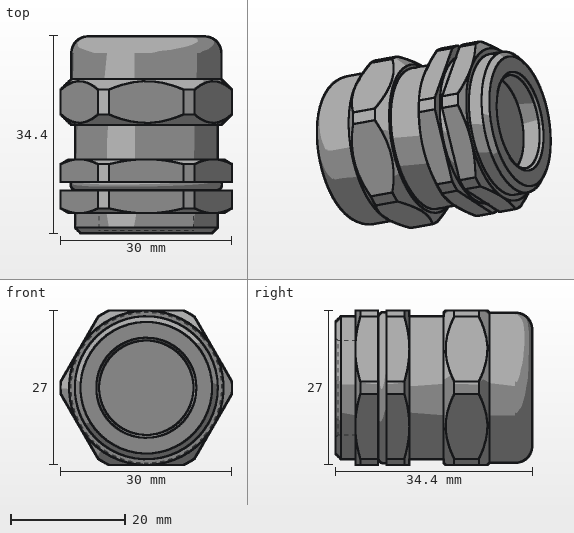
import cadquery as cq
import math


across_flats = 27.0
corner_diameter = 30.0
sharp_corner_diameter = across_flats / math.cos(math.pi / 6)
nut_thickness = 4.0
nut_chamfer_angle = 30.0
cap_hex_chamfer_angle = 45.0

body_diameter = 25.0
thread_length = 3.5
thread_chamfer = 1.0
neck_length = 6.0

bore_diameter = 16.5
bore_chamfer = 0.5
bore_depth = 3.65

seal_gap = 1.43
seal_core_diameter = 24.5
seal_tube_radius = 1.0

cap_diameter = 26.3
cap_hex_length = 8.0
cap_length = 7.5
cap_fillet = 3.0

locknut_start = thread_length
locknut_end = locknut_start + nut_thickness
body_hex_start = locknut_end + seal_gap
body_hex_end = body_hex_start + nut_thickness
cap_hex_start = body_hex_end + neck_length
cap_hex_end = cap_hex_start + cap_hex_length
cap_end = cap_hex_end + cap_length


def cylinder(diameter, start, end):
    """Solid cylinder along +Y between two stations."""
    base = cq.Workplane("XZ", origin=(0, start, 0))
    return base.circle(diameter / 2).extrude(start - end)


def hexagon(start, end, face_diameter, chamfer_angle, chamfered_faces):
    """Hexagon with flats facing +Z and -Z, rounded corners and conical end chamfers."""
    prism = (
        cq.Workplane("XZ", origin=(0, start, 0))
        .polygon(6, sharp_corner_diameter)
        .extrude(start - end)
    )
    radial_chamfer = (corner_diameter - face_diameter) / 2
    axial_chamfer = radial_chamfer * math.tan(math.radians(chamfer_angle))
    envelope = cylinder(corner_diameter, start, end)
    for face in chamfered_faces:
        envelope = envelope.faces(face).chamfer(axial_chamfer, radial_chamfer)
    return prism.intersect(envelope)


def threaded_body():
    body = cylinder(body_diameter, 0, cap_hex_start)
    return body.faces("<Y").chamfer(thread_chamfer)


def sealing_ring():
    """Round-rimmed disc, tangent to the locknut and cut flush at the body hexagon."""
    core_radius = seal_core_diameter / 2
    center_y = locknut_end + seal_tube_radius
    top_height = body_hex_start - center_y
    top_radius = core_radius + math.sqrt(seal_tube_radius**2 - top_height**2)
    return (
        cq.Workplane("XY")
        .moveTo(0, locknut_end)
        .lineTo(core_radius, locknut_end)
        .threePointArc((core_radius + seal_tube_radius, center_y), (top_radius, body_hex_start))
        .lineTo(0, body_hex_start)
        .close()
        .revolve(360, (0, 0), (0, 1))
    )


def domed_cap():
    cap = cylinder(cap_diameter, cap_hex_end, cap_end)
    return cap.faces(">Y").edges().fillet(cap_fillet)


def entry_bore():
    """Blind cylinder with a 45 degree countersunk mouth at Y = 0."""
    bore_radius = bore_diameter / 2
    profile = [
        (0, 0),
        (bore_radius + bore_chamfer, 0),
        (bore_radius, bore_chamfer),
        (bore_radius, bore_depth),
        (0, bore_depth),
    ]
    return cq.Workplane("XY").polyline(profile).close().revolve(360, (0, 0), (0, 1))


locknut = hexagon(locknut_start, locknut_end, across_flats, nut_chamfer_angle, ["<Y"])
body_hex = hexagon(body_hex_start, body_hex_end, across_flats, nut_chamfer_angle, [">Y"])
cap_hex = hexagon(cap_hex_start, cap_hex_end, cap_diameter, cap_hex_chamfer_angle, ["<Y", ">Y"])

result = (
    threaded_body()
    .union(locknut)
    .union(sealing_ring())
    .union(body_hex)
    .union(cap_hex)
    .union(domed_cap())
    .cut(entry_bore())
)